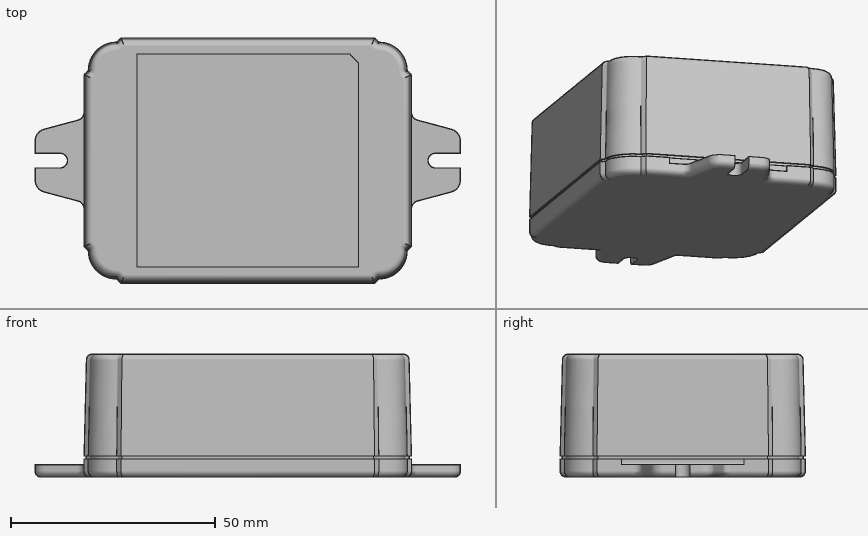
import cadquery as cq
import math

overall_length = 103.9
case_length = 80.0
case_width = 60.0
case_height = 30.0

corner_radius = 7.0
corner_setback = 1.0

tab_height = 3.0
base_height = 4.5
cover_bottom = 5.1
lip_inset = 0.5

cover_draft = 1.4
edge_radius = 1.5

label_length = 54.0
label_width = 52.0
label_depth = 0.3
label_chamfer = 2.1

tab_root_half_width = 10.3
tab_taper = 15.0
tab_tip_radius = 3.0
tab_root_radius = 2.0
slot_width = 3.5
slot_length = 7.9

relief_width = 29.9
relief_depth = 0.6
relief_cove_radius = 0.5


def case_plan(z):
    """Outline of the case at height z, each corner stepped in at 45 degrees and then rounded."""
    x_side = case_length / 2
    y_side = case_width / 2
    x_arc = x_side - corner_setback
    y_arc = y_side - corner_setback
    x_center = x_arc - corner_radius
    y_center = y_arc - corner_radius
    x_flat = x_center - corner_setback
    y_flat = y_center - corner_setback
    arc_middle = corner_radius * math.sqrt(0.5)

    plan = cq.Workplane("XY").workplane(offset=z).moveTo(x_side, -y_flat)
    for x_sign, y_sign in ((1, 1), (-1, 1), (-1, -1), (1, -1)):
        corner = [
            (x_sign * x_side, y_sign * y_flat),
            (x_sign * x_arc, y_sign * y_center),
            (x_sign * (x_center + arc_middle), y_sign * (y_center + arc_middle)),
            (x_sign * x_center, y_sign * y_arc),
            (x_sign * x_flat, y_sign * y_side),
        ]
        if x_sign != y_sign:
            corner.reverse()
        first_flat, arc_start, arc_mid, arc_end, second_flat = corner
        plan = plan.lineTo(*first_flat).lineTo(*arc_start).threePointArc(arc_mid, arc_end)
        plan = plan.lineTo(*second_flat)
    return plan.close()


def tab_blank():
    """Both tapered tabs as one strip across the case, without slots."""
    x_tip = overall_length / 2
    x_root = case_length / 2
    tip_half_width = tab_root_half_width - (x_tip - x_root) * math.tan(math.radians(tab_taper))
    strip = (
        cq.Workplane("XY")
        .moveTo(x_root, tab_root_half_width)
        .lineTo(x_tip, tip_half_width)
        .lineTo(x_tip, -tip_half_width)
        .lineTo(x_root, -tab_root_half_width)
        .lineTo(-x_root, -tab_root_half_width)
        .lineTo(-x_tip, -tip_half_width)
        .lineTo(-x_tip, tip_half_width)
        .lineTo(-x_root, tab_root_half_width)
        .close()
        .extrude(tab_height)
    )
    strip = strip.edges("|Z and (<X or >X)").fillet(tab_tip_radius)
    return strip


def tab_slot(side):
    """Open slot in the tab on the given side (-1 or 1), with a half-round inner end."""
    end_radius = slot_width / 2
    x_tip = overall_length / 2
    x_end = x_tip - slot_length
    slot = (
        cq.Workplane("XY")
        .moveTo(x_tip, -end_radius)
        .lineTo(x_end + end_radius, -end_radius)
        .threePointArc((x_end, 0), (x_end + end_radius, end_radius))
        .lineTo(x_tip, end_radius)
        .close()
        .extrude(tab_height)
    )
    return slot if side > 0 else slot.mirror("YZ")


def wall_relief(side):
    """Shallow cut in the base wall above a tab, with a coved floor."""
    relief = cq.Workplane("XY").box(
        relief_depth, relief_width, base_height - tab_height, centered=(False, True, False)
    )
    relief = relief.edges("<X and <Z").fillet(relief_cove_radius)
    relief = relief.translate((case_length / 2 - relief_depth, 0, tab_height))
    return relief if side > 0 else relief.mirror("YZ")


def tab_root_corners():
    """Selector of the vertical edges where the tabs meet the case sides."""
    search_half_size = 0.2
    corners = None
    for x in (-case_length / 2, case_length / 2):
        for y in (-tab_root_half_width, tab_root_half_width):
            corner = cq.selectors.BoxSelector(
                (x - search_half_size, y - search_half_size, 0),
                (x + search_half_size, y + search_half_size, tab_height),
            )
            corners = corners + corner if corners else corner
    return corners


def build_base():
    """Base plate with rounded bottom edge, joint lip and slotted mounting tabs."""
    floor = case_plan(0).extrude(tab_height).union(tab_blank())
    floor = floor.faces("<Z").edges().fillet(edge_radius)
    floor = floor.edges("|Z").edges(tab_root_corners()).fillet(tab_root_radius)

    base = floor.union(case_plan(tab_height).extrude(base_height - tab_height))
    lip = case_plan(base_height).offset2D(-lip_inset).extrude(cover_bottom - base_height)
    base = base.union(lip)
    for side in (-1, 1):
        base = base.cut(tab_slot(side)).cut(wall_relief(side))
    return base


def build_cover():
    """Drafted cover with a rounded top edge and a label recess."""
    cover = case_plan(cover_bottom).extrude(case_height - cover_bottom, taper=cover_draft)
    cover = cover.faces(">Z").edges().fillet(edge_radius)
    label = (
        cq.Workplane("XY")
        .box(label_length, label_width, label_depth, centered=(True, True, False))
        .edges("|Z and >X and >Y")
        .chamfer(label_chamfer)
        .translate((0, 0, case_height - label_depth))
    )
    return cover.cut(label)


base = build_base()
cover = build_cover()
result = cq.Compound.makeCompound([base.val(), cover.val()])